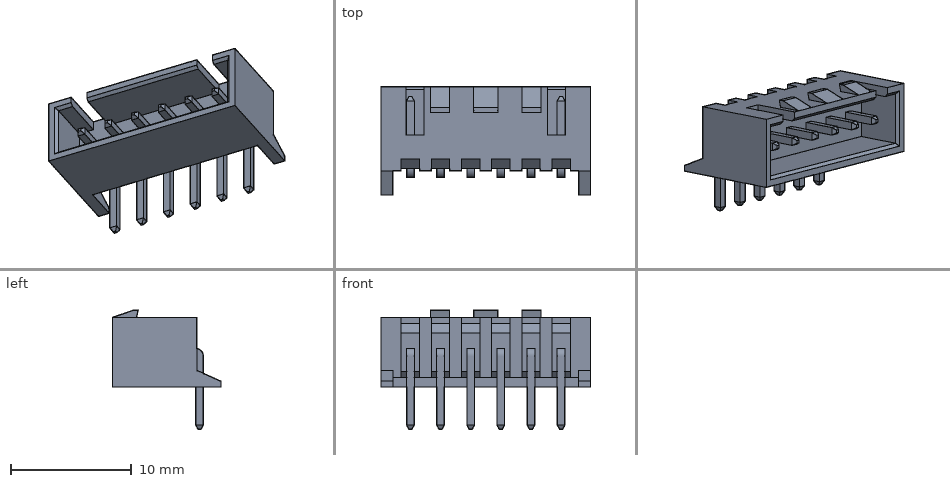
import cadquery as cq


pin_count = 6
pitch = 2.5
end_margin = 2.45
housing_length = (pin_count - 1) * pitch + 2 * end_margin
housing_depth = 7.0
housing_height = 5.8
wall = 0.8
mouth_chamfer = 0.25

roof_slot_depth = 4.0
roof_slot_width = 1.46
roof_slot_inset = 2.1
cavity_floor_y = housing_depth - roof_slot_depth

groove_width = 1.52
groove_depth = 1.0
groove_web_y = 0.2
groove_ramp_top_z = 5.3
groove_ramp_bottom_z = 4.5
groove_underside_z = 1.3

foot_width = 1.0
foot_reach = 2.0
foot_root_height = 1.4
foot_tip_height = 0.5
clearance_height = wall
clearance_depth = groove_depth

ridge_height = 0.59
ridge_base_length = 2.0
ridge_top_length = 2.14
ridge_crest_start = 1.72
ridge_spacing = 3.8
side_ridge_width = 1.6
middle_ridge_width = 2.0

pin_size = 0.64
pin_axis_z = housing_height / 2
pin_rear_y = -0.54
pin_tip_recess = 0.83
pin_tail_z = -3.5
tip_length = 0.35
tip_size = 0.24


def box(x_start, x_end, y_start, y_end, z_start, z_end):
    """Box spanning the given limits."""
    size = (x_end - x_start, y_end - y_start, z_end - z_start)
    return cq.Workplane("XY").box(*size, centered=False).translate((x_start, y_start, z_start))


def side_prism(points, x_center, width):
    """Extrude a (Y, Z) outline along X, centred on x_center."""
    prism = cq.Workplane("YZ").polyline(points).close().extrude(width / 2, both=True)
    return prism.translate((x_center, 0, 0))


def make_shell():
    """Housing block with the mating cavity and its chamfered mouth."""
    half_length = housing_length / 2
    shell = box(-half_length, half_length, 0, housing_depth, 0, housing_height)
    cavity = box(
        -half_length + wall, half_length - wall,
        cavity_floor_y, housing_depth,
        wall, housing_height - wall,
    )
    cavity_length = housing_length - 2 * wall
    cavity_height = housing_height - 2 * wall
    mouth = (
        cq.Workplane("XZ", origin=(0, housing_depth, housing_height / 2))
        .rect(cavity_length + 2 * mouth_chamfer, cavity_height + 2 * mouth_chamfer)
        .workplane(offset=mouth_chamfer)
        .rect(cavity_length, cavity_height)
        .loft(ruled=True)
    )
    return shell.cut(cavity).cut(mouth)


def make_roof_slot(side):
    """Cutter for the roof slot near one end; side is -1 or 1."""
    outer_x = housing_length / 2 - roof_slot_inset
    slot_center = side * (outer_x - roof_slot_width / 2)
    half_width = roof_slot_width / 2
    return box(
        slot_center - half_width, slot_center + half_width,
        cavity_floor_y, housing_depth,
        housing_height / 2, housing_height,
    )


def make_groove(x_center):
    """Cutter for a rear groove that leaves a sloped web around the pin."""
    underside_start_y = groove_web_y + groove_underside_z - clearance_height
    outline = [
        (0, clearance_height),
        (underside_start_y, clearance_height),
        (groove_web_y, groove_underside_z),
        (groove_web_y, groove_ramp_bottom_z),
        (groove_depth, groove_ramp_top_z),
        (groove_depth, housing_height),
        (0, housing_height),
    ]
    return side_prism(outline, x_center, groove_width)


def make_clearance():
    """Cutter for the space under the rear edge, between the feet."""
    half_width = housing_length / 2 - foot_width
    return box(-half_width, half_width, 0, clearance_depth, 0, clearance_height)


def make_foot(side):
    """Tapered foot behind one end of the housing; side is -1 or 1."""
    outline = [
        (0, 0),
        (-foot_reach, 0),
        (-foot_reach, foot_tip_height),
        (0, foot_root_height),
    ]
    x_center = side * (housing_length - foot_width) / 2
    return side_prism(outline, x_center, foot_width)


def make_ridge(x_center, width):
    """Ramped locking ridge with an undercut catch face."""
    crest_z = housing_height + ridge_height
    outline = [
        (housing_depth, housing_height),
        (housing_depth - ridge_crest_start, crest_z),
        (housing_depth - ridge_top_length, crest_z),
        (housing_depth - ridge_base_length, housing_height),
    ]
    return side_prism(outline, x_center, width)


def make_tip(plane):
    """Tapered pin end growing along the normal of the given plane."""
    return (
        cq.Workplane(plane)
        .rect(pin_size, pin_size)
        .workplane(offset=tip_length)
        .rect(tip_size, tip_size)
        .loft(ruled=True)
    )


def make_pin(x_center):
    """Right-angle square pin, rounded outside its bend and tapered at both ends."""
    half_size = pin_size / 2
    pin_top_z = pin_axis_z + half_size
    contact_y = housing_depth - pin_tip_recess - tip_length
    tail_z = pin_tail_z + tip_length
    bar = (
        cq.Workplane("YZ")
        .moveTo(contact_y, pin_top_z)
        .lineTo(pin_rear_y + pin_size, pin_top_z)
        .radiusArc((pin_rear_y, pin_top_z - pin_size), -pin_size)
        .lineTo(pin_rear_y, tail_z)
        .lineTo(pin_rear_y + pin_size, tail_z)
        .lineTo(pin_rear_y + pin_size, pin_top_z - pin_size)
        .lineTo(contact_y, pin_top_z - pin_size)
        .close()
        .extrude(half_size, both=True)
    )
    contact_plane = cq.Plane(origin=(0, contact_y, pin_axis_z), xDir=(1, 0, 0), normal=(0, 1, 0))
    tail_plane = cq.Plane(origin=(0, pin_rear_y + half_size, tail_z), xDir=(1, 0, 0), normal=(0, 0, -1))
    pin = bar.union(make_tip(contact_plane)).union(make_tip(tail_plane))
    return pin.translate((x_center, 0, 0))


pin_positions = [(index - (pin_count - 1) / 2) * pitch for index in range(pin_count)]

result = make_shell().cut(make_clearance())
for side in (-1, 1):
    result = result.cut(make_roof_slot(side))
    result = result.union(make_foot(side))
    result = result.union(make_ridge(side * ridge_spacing, side_ridge_width))
result = result.union(make_ridge(0, middle_ridge_width))
for x_position in pin_positions:
    result = result.cut(make_groove(x_position))
    result = result.union(make_pin(x_position))